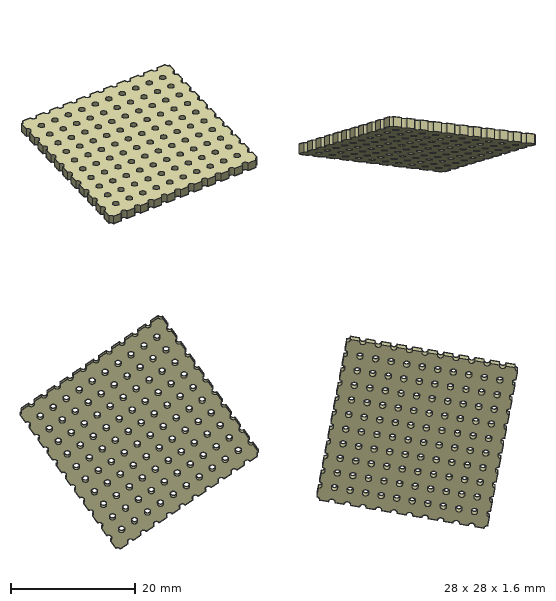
import cadquery as cq

side = 27.95
thickness = 1.6
pitches_per_side = 11
hole_diameter = 1.03

pitch = side / pitches_per_side
holes_per_row = pitches_per_side + 1

board = cq.Workplane("XY").rect(side, side).extrude(thickness)

holes = (
    cq.Workplane("XY")
    .rarray(pitch, pitch, holes_per_row, holes_per_row)
    .circle(hole_diameter / 2)
    .extrude(thickness)
)

result = board.cut(holes)